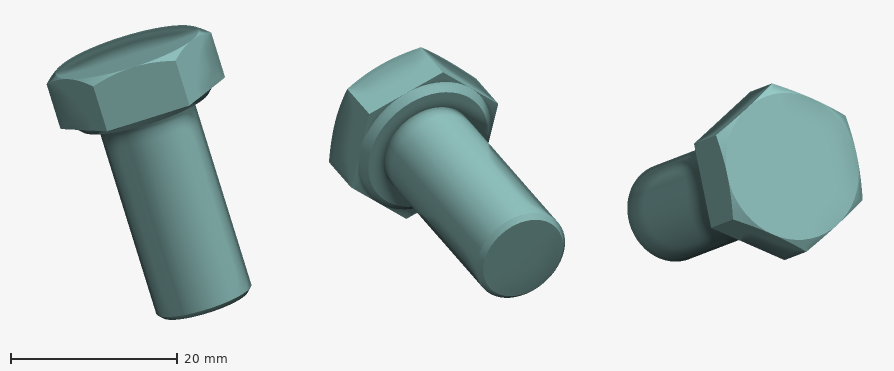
import cadquery as cq
import math

shank_diameter = 12.0
shank_length = 25.0
tip_chamfer = 0.6
across_flats = 18.0
head_height = 7.5
collar_height = 0.9
collar_taper = 45.0
crown_angle = 30.0
tilt = 28.2

across_corners = across_flats / math.cos(math.radians(30))
hexagon_height = head_height - collar_height
collar_seat_radius = across_flats / 2 - collar_height * math.tan(math.radians(collar_taper))


def make_hexagon():
    """Hexagonal prism with flats facing +Y and -Y, its top corners cut by a cone."""
    prism = (
        cq.Workplane("XY", origin=(0, 0, collar_height))
        .polygon(6, across_corners)
        .extrude(hexagon_height)
    )
    crown_radius = across_flats / 2
    envelope_radius = across_corners
    crown_drop = (envelope_radius - crown_radius) * math.tan(math.radians(crown_angle))
    envelope = (
        cq.Workplane("XZ")
        .moveTo(0, 0)
        .lineTo(envelope_radius, 0)
        .lineTo(envelope_radius, head_height - crown_drop)
        .lineTo(crown_radius, head_height)
        .lineTo(0, head_height)
        .close()
        .revolve(360, (0, 0, 0), (0, 1, 0))
    )
    return prism.intersect(envelope)


def make_collar():
    """Conical bearing collar between the seat at Z = 0 and the hexagon."""
    return (
        cq.Workplane("XY", origin=(0, 0, collar_height))
        .circle(across_flats / 2)
        .workplane(offset=-collar_height)
        .circle(collar_seat_radius)
        .loft()
    )


def make_shank():
    """Plain cylindrical shank running down from the seat, chamfered at its tip."""
    return (
        cq.Workplane("XY")
        .circle(shank_diameter / 2)
        .extrude(-shank_length)
        .faces("<Z")
        .chamfer(tip_chamfer)
    )


bolt = make_hexagon().union(make_collar()).union(make_shank())

result = bolt.rotate((0, 0, 0), (0, 1, 0), -tilt)